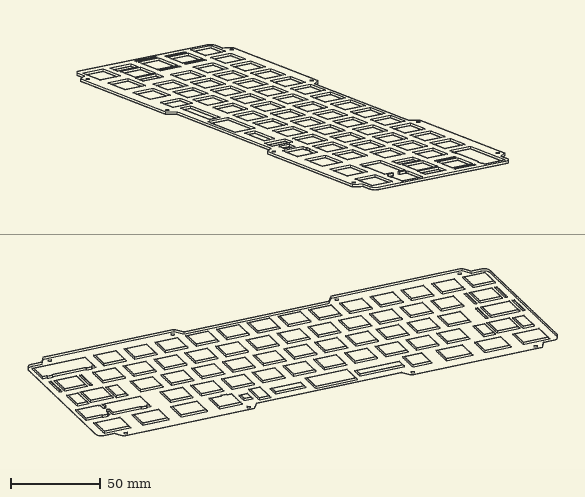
import cadquery as cq

length = 285.8
width = 105.7
thickness = 1.5
key_unit = length / 15
body_width = 5 * key_unit
corner_radius = 3.7

tab_inner_root = 45.0
tab_inner_tip = 48.5
tab_outer_tip = 129.7
tab_outer_root = 133.0
screw_diameter = 2.0
screw_xs = (51.0, 127.0)
tab_screw_inset = 2.3
screw_y = body_width / 2 + tab_screw_inset

switch_size = 14.0
side_slot_width = 1.5
side_slot_offset = 9.5
stabilizer_width = 7.1
stabilizer_height = 14.3
stabilizer_shift = 0.71
stabilizer_inner_edge = 8.5
stabilizer_offset = stabilizer_inner_edge + stabilizer_width / 2
notch_width = 3.5
notch_reach = 7.7
short_space_offset = 50.0
long_space_offset = 57.2
bar_slot_height = 7.1
bar_slot_ends = ((-49.7, -22.0), (11.5, 30.3), (44.3, 49.7))
web_gap = 4.3
web_relief_half_height = 6.3
merged_stabilizer_height = 13.7

row_1_switches = [0.5 + i for i in range(13)]
row_2_switches = [0.75] + [2 + i for i in range(12)] + [14.25]
row_3_switches = [2.25 + i for i in range(11)] + [13.875]
row_4_switches = [1.125] + [2.75 + i for i in range(10)] + [14.5]
backspace_pair = (13.5, 14.5)
caps_lock_pair = (0.65, 0.86)
right_shift_pair = (13.125, 13.625)
modifier_pairs = [
    (0.625, 0.75), (1.875, 2.0), (3.125, 3.25),
    (11.75, 11.875), (13.0, 13.125), (14.25, 14.375),
]
short_space = 6.875
long_space = 7.5
right_alt = 10.625


def key_x(units):
    """X of a key centre given in key units from the left end."""
    return units * key_unit - length / 2


def row_y(row):
    """Y of a row centre; row 1 is the top row, row 5 the bottom one."""
    return (3 - row) * key_unit


def opening(left, right, bottom, top):
    """Rectangular cutter through the whole plate."""
    return (
        cq.Workplane("XY")
        .center((left + right) / 2, (bottom + top) / 2)
        .rect(right - left, top - bottom)
        .extrude(thickness, both=True)
    )


def centred_opening(x, y, size_x, size_y):
    return opening(x - size_x / 2, x + size_x / 2, y - size_y / 2, y + size_y / 2)


def switch(row, first, last=None):
    """Switch opening, stretched from the first to the last key centre if both are given."""
    last = first if last is None else last
    half = switch_size / 2
    y = row_y(row)
    return opening(key_x(first) - half, key_x(last) + half, y - half, y + half)


def side_slot(row, units, side):
    x = key_x(units) + side * side_slot_offset
    return centred_opening(x, row_y(row), side_slot_width, switch_size)


def stabilizer(row, x, direction=-1):
    """Stabilizer opening, shifted toward -Y (direction -1) or +Y (direction 1)."""
    y = row_y(row) + direction * stabilizer_shift
    return centred_opening(x, y, stabilizer_width, stabilizer_height)


def notch(row, x, direction=-1):
    """Narrow notch reaching from the row centre past the edge of a switch opening."""
    y = row_y(row) + direction * notch_reach / 2
    return centred_opening(x, y, notch_width, notch_reach)


def make_plate():
    plate = cq.Workplane("XY").rect(length, body_width).extrude(thickness / 2, both=True)
    plate = plate.edges("|Z").fillet(corner_radius)
    for side_x in (-1, 1):
        tab = (
            cq.Workplane("XY")
            .polyline([
                (side_x * tab_inner_root, -body_width / 2),
                (side_x * tab_inner_tip, -width / 2),
                (side_x * tab_outer_tip, -width / 2),
                (side_x * tab_outer_root, -body_width / 2),
                (side_x * tab_outer_root, body_width / 2),
                (side_x * tab_outer_tip, width / 2),
                (side_x * tab_inner_tip, width / 2),
                (side_x * tab_inner_root, body_width / 2),
            ])
            .close()
            .extrude(thickness / 2, both=True)
        )
        plate = plate.union(tab)
    screw_points = [(i * x, j * screw_y) for x in screw_xs for i in (-1, 1) for j in (-1, 1)]
    screws = (
        cq.Workplane("XY")
        .pushPoints(screw_points)
        .circle(screw_diameter / 2)
        .extrude(thickness, both=True)
    )
    return plate.cut(screws)


def row_1_openings():
    cutters = [switch(1, units) for units in row_1_switches]
    cutters.append(switch(1, *backspace_pair))
    centre = key_x(sum(backspace_pair) / 2)
    for side in (-1, 1):
        cutters.append(notch(1, centre + side * stabilizer_offset))
    return cutters


def row_2_openings():
    cutters = [switch(2, units) for units in row_2_switches]
    for units in (row_2_switches[0], row_2_switches[-1]):
        for side in (-1, 1):
            cutters.append(side_slot(2, units, side))
    return cutters


def row_3_openings():
    cutters = [switch(3, units) for units in row_3_switches]
    cutters.append(switch(3, *caps_lock_pair))
    for units, side in zip(caps_lock_pair, (-1, 1)):
        cutters.append(side_slot(3, units, side))
    enter_x = key_x(row_3_switches[-1])
    for side in (-1, 1):
        cutters.append(stabilizer(3, enter_x + side * stabilizer_offset))
    return cutters


def row_4_openings():
    cutters = [switch(4, units) for units in row_4_switches]
    left_shift_x = key_x(row_4_switches[0])
    for side in (-1, 1):
        cutters.append(stabilizer(4, left_shift_x + side * stabilizer_offset))

    cutters.append(switch(4, *right_shift_pair))
    right_shift_x = key_x(right_shift_pair[-1])
    last_x = key_x(row_4_switches[-1])
    cutters.append(opening(right_shift_x, last_x, row_y(4) - web_gap / 2, row_y(4) + web_gap / 2))
    for side in (-1, 1):
        cutters.append(notch(4, right_shift_x + side * stabilizer_offset))

    body_left = right_shift_x + stabilizer_offset - stabilizer_width / 2
    body_bottom = row_y(4) - web_relief_half_height
    body_top = row_y(4) + web_relief_half_height
    cutters.append(opening(body_left, last_x, body_bottom, body_top))
    return cutters


def row_5_openings():
    y = row_y(5)
    cutters = [switch(5, *pair) for pair in modifier_pairs]
    cutters.append(switch(5, short_space, long_space))
    cutters.append(switch(5, right_alt))

    half_width = stabilizer_width / 2
    left = key_x(short_space) - short_space_offset - half_width
    right = key_x(long_space) - long_space_offset + half_width
    left_top = y + notch_reach
    cutters.append(opening(left, right, left_top - merged_stabilizer_height, left_top))
    cutters.append(stabilizer(5, key_x(short_space) + short_space_offset, 1))
    cutters.append(notch(5, key_x(long_space) + long_space_offset, 1))

    for slot_left, slot_right in bar_slot_ends:
        half_height = bar_slot_height / 2
        cutters.append(opening(slot_left, slot_right, y - half_height, y + half_height))
    return cutters


result = make_plate()
for row_openings in (row_1_openings, row_2_openings, row_3_openings, row_4_openings, row_5_openings):
    for cutter in row_openings():
        result = result.cut(cutter)